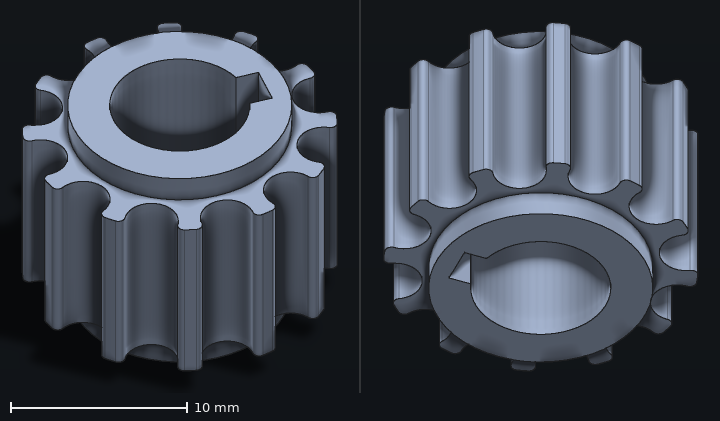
import cadquery as cq

total_height = 13.84
hub_height = 1.6
tooth_length = total_height - 2 * hub_height
hub_radius = 6.37
tip_radius = 8.96

tooth_count = 12
gap_radius = 1.53
gap_root_radius = 6.82
gap_pitch_radius = gap_root_radius + gap_radius
tip_fillet = 0.39
gear_rotation = -0.5

bore_radius = 3.98
key_width = 2.35
key_top = 5.15


def toothed_rim():
    """Disc with round gaps cut into its edge and rounded tooth tips."""
    blank = cq.Workplane("XY").circle(tip_radius).extrude(tooth_length)
    gaps = (
        cq.Workplane("XY")
        .polarArray(gap_pitch_radius, 0, 360, tooth_count)
        .circle(gap_radius)
        .extrude(tooth_length)
    )
    rim = blank.cut(gaps).edges("|Z").fillet(tip_fillet)
    rim = rim.rotate((0, 0, 0), (0, 0, 1), gear_rotation)
    return rim.translate((0, 0, hub_height))


def keyed_bore():
    """Through bore with a rectangular keyway on the +Y side."""
    bore = cq.Workplane("XY").circle(bore_radius).extrude(total_height)
    key = (
        cq.Workplane("XY")
        .center(0, key_top / 2)
        .rect(key_width, key_top)
        .extrude(total_height)
    )
    return bore.union(key)


hub = cq.Workplane("XY").circle(hub_radius).extrude(total_height)
result = hub.union(toothed_rim()).cut(keyed_bore())